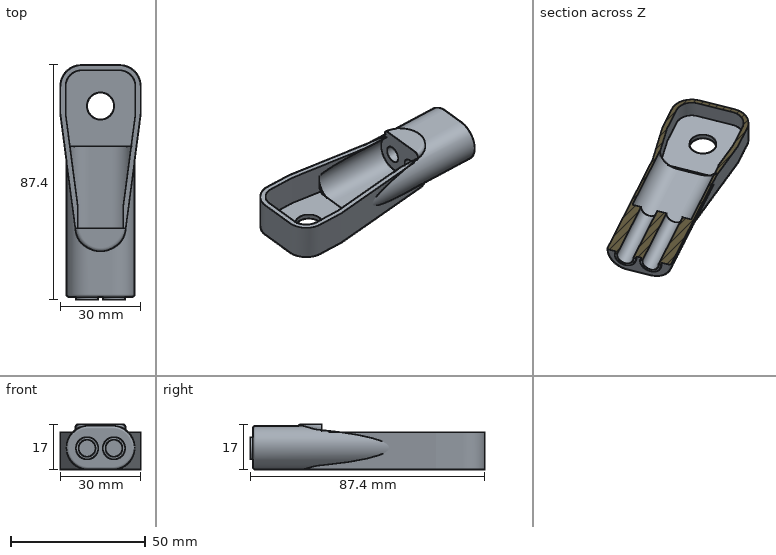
import cadquery as cq

overall_length = 87.44

head_half_width = 15.0
head_end_y = 15.3
head_corner_radius = 8.0
straight_end_y = -3.0
taper_end_y = -45.4
taper_end_half_width = 9.4
tray_height = 14.0
wall = 2.0
floor = 2.0
eye_diameter = 10.0

lug_tip_y = -54.35
lug_height = 17.0
lug_edge_fillet = 1.5

barrel_flat_width = 9.1
barrel_radius = 8.15
barrel_center_z = 8.2
barrel_start_y = -15.0
barrel_end_y = -71.1
barrel_end_fillet = 1.0
trough_radius = 7.0

tube_end_y = head_end_y - overall_length
tube_spacing = 10.0
tube_center_z = 8.0
tube_bore_diameter = 6.3
tube_outer_diameter = 8.3


def prism_y(profile, start_y, end_y):
    """Extrude a profile drawn on the XZ plane from start_y towards -Y."""
    return profile.extrude(start_y - end_y).translate((0, start_y, 0))


def slot_prism(radius, start_y, end_y):
    """Slot-shaped bar along Y, concentric with the barrel."""
    profile = cq.Workplane("XZ").center(0, barrel_center_z)
    return prism_y(profile.slot2D(barrel_flat_width + 2 * radius, 2 * radius), start_y, end_y)


def tray_prism(inset, bottom_z, top_z):
    """Tray outline, moved in by inset at the head and sides, between two heights."""
    half_width = head_half_width - inset
    end_half_width = taper_end_half_width - inset
    end_y = head_end_y - inset
    outline = cq.Workplane("XY").workplane(offset=bottom_z).polyline([
        (half_width, end_y),
        (half_width, straight_end_y),
        (end_half_width, taper_end_y),
        (-end_half_width, taper_end_y),
        (-half_width, straight_end_y),
        (-half_width, end_y),
    ]).close()
    prism = outline.extrude(top_z - bottom_z)
    return prism.edges("|Z and >Y").fillet(head_corner_radius - inset)


def make_lug():
    lug = (
        cq.Workplane("XY")
        .moveTo(-taper_end_half_width, taper_end_y)
        .threePointArc((0, lug_tip_y), (taper_end_half_width, taper_end_y))
        .close()
        .extrude(lug_height)
    )
    return lug.faces(">Z").edges("not(>Y)").fillet(lug_edge_fillet)


def make_barrel():
    barrel = slot_prism(barrel_radius, barrel_start_y, barrel_end_y)
    return barrel.faces("<Y").edges().fillet(barrel_end_fillet)


def tube_cylinders(diameter, start_y):
    """Pair of cylinders on the tube axes, running from start_y to the tube ends."""
    centers = [(side * tube_spacing / 2, tube_center_z) for side in (-1, 1)]
    profile = cq.Workplane("XZ").pushPoints(centers).circle(diameter / 2)
    return prism_y(profile, start_y, tube_end_y)


tray = tray_prism(0, 0, tray_height).cut(tray_prism(wall, floor, tray_height))
body = tray.union(make_barrel())

body = body.cut(tray_prism(0, tray_height, lug_height))
body = body.cut(tray_prism(wall, barrel_center_z, tray_height))
body = body.cut(slot_prism(trough_radius, barrel_start_y, taper_end_y))

body = body.union(make_lug())
body = body.union(tube_cylinders(tube_outer_diameter, taper_end_y))
body = body.cut(tube_cylinders(tube_bore_diameter, taper_end_y))
result = body.cut(cq.Workplane("XY").circle(eye_diameter / 2).extrude(tray_height))